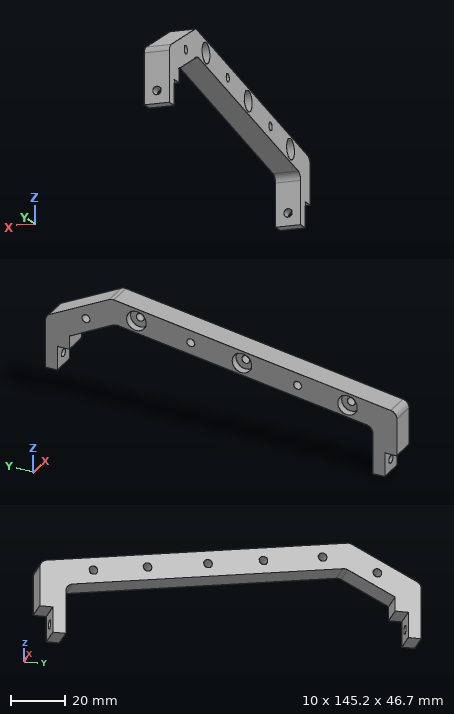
import cadquery as cq
import math

bar_width = 10.0
bar_length = 145.23
bar_height = 46.66

bar_depth = 10.0
leg_depth = bar_depth
tab_thickness = 5.0
tab_length = 10.0
rear_leg_bottom = 11.4
corner_radius = 3.0

front_tilt = math.radians(9.05)
rear_tilt = math.atan(0.5)
peak_from_rear = 27.3

hole_diameter = 3.2
counterbore_diameter = 8.0
counterbore_depth = 3.2
counterbored_hole_distances = (37.6, 81.2, 124.8)
plain_hole_distances = (16.8, 60.1, 104.2)

rear_y = bar_length / 2
front_y = -bar_length / 2
peak_y = rear_y - peak_from_rear

half_bend = (front_tilt + rear_tilt) / 2
peak_lean = (rear_tilt - front_tilt) / 2
peak_z = bar_height + corner_radius * (math.cos(peak_lean) / math.cos(half_bend) - 1)


def front_arm_z(y, depth):
    """Height of the line lying `depth` below the top face of the front arm."""
    return peak_z - (peak_y - y) * math.tan(front_tilt) - depth / math.cos(front_tilt)


def rear_arm_z(y, depth):
    """Height of the line lying `depth` below the top face of the rear arm."""
    return peak_z - (y - peak_y) * math.tan(rear_tilt) - depth / math.cos(rear_tilt)


def arm_z(y, depth):
    """Height of the line lying `depth` below the top of the bar."""
    return min(front_arm_z(y, depth), rear_arm_z(y, depth))


def inner_bend():
    """Point where the undersides of the two arms meet."""
    offset = bar_depth / math.cos(half_bend)
    return peak_y - offset * math.sin(peak_lean), peak_z - offset * math.cos(peak_lean)


def bar_body():
    """Bent bar with a stepped leg at each end."""
    front_leg_y = front_y + leg_depth
    rear_leg_y = rear_y - leg_depth
    peak = (peak_y, peak_z)
    front_top = (front_y, front_arm_z(front_y, 0))
    rear_top = (rear_y, rear_arm_z(rear_y, 0))
    front_inside = (front_leg_y, front_arm_z(front_leg_y, bar_depth))
    rear_inside = (rear_leg_y, rear_arm_z(rear_leg_y, bar_depth))
    bend = inner_bend()
    outline = [
        peak,
        front_top,
        (front_y, tab_length),
        (front_leg_y - tab_thickness, tab_length),
        (front_leg_y - tab_thickness, 0),
        (front_leg_y, 0),
        front_inside,
        bend,
        rear_inside,
        (rear_leg_y, rear_leg_bottom + tab_length),
        (rear_y - tab_thickness, rear_leg_bottom + tab_length),
        (rear_y - tab_thickness, rear_leg_bottom),
        (rear_y, rear_leg_bottom),
        rear_top,
    ]
    body = cq.Workplane("YZ").polyline(outline).close().extrude(bar_width / 2, both=True)
    for y, z in (peak, front_top, rear_top, front_inside, bend):
        edge = cq.selectors.NearestToPointSelector((0, y, z))
        body = body.edges("|X").edges(edge).fillet(corner_radius)
    return body


def side_cylinders(diameter, depth, distances):
    """Cylinders along X on the bar's centre line, reaching `depth` in from the -X face."""
    centres = [(rear_y - d, arm_z(rear_y - d, bar_depth / 2)) for d in distances]
    face = cq.Workplane("YZ", origin=(-bar_width / 2, 0, 0))
    return face.pushPoints(centres).circle(diameter / 2).extrude(depth)


def tab_hole(y, tab_bottom):
    """Cylinder along Y through the middle of a tab whose faces lie at `y` and beyond."""
    plane = cq.Workplane("XZ", origin=(0, y + tab_thickness, tab_bottom + tab_length / 2))
    return plane.circle(hole_diameter / 2).extrude(tab_thickness)


result = (
    bar_body()
    .cut(side_cylinders(hole_diameter, bar_width, plain_hole_distances + counterbored_hole_distances))
    .cut(side_cylinders(counterbore_diameter, counterbore_depth, counterbored_hole_distances))
    .cut(tab_hole(front_y + leg_depth - tab_thickness, 0))
    .cut(tab_hole(rear_y - tab_thickness, rear_leg_bottom))
)